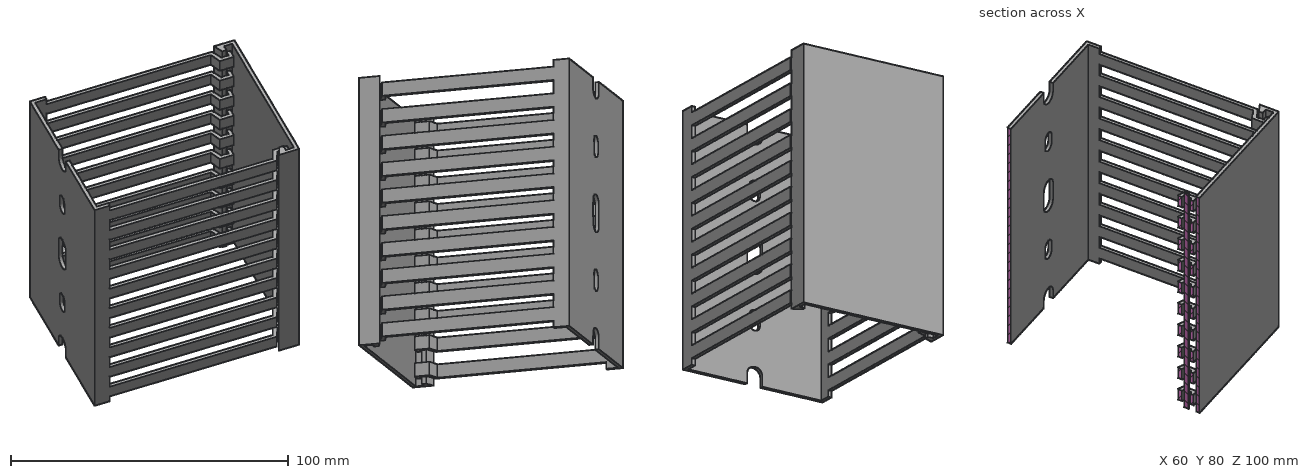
import cadquery as cq

WIDTH = 60.0
DEPTH = 80.0
LENGTH = 100.0
HALF_WIDTH = WIDTH / 2
BACK = DEPTH / 2
FRONT = -DEPTH / 2

BASE_THICKNESS = 1.5
SIDE_THICKNESS = 1.4

FINGER_PITCH = 10.0
FINGER_WIDTH = 5.0
FINGER_COUNT = 10
ROOT_HEIGHT = 6.0

HOOK_REACH = 5.5
HOOK_LIP_REACH = 2.1
HOOK_THICKNESS = 1.5
HOOK_TOP_DROP = 2.5
HOOK_LIP_THICKNESS = 1.5
HOOK_INNER_SHOULDER_DROP = 8.1
HOOK_OUTER_SHOULDER_DROP = 6.9
FINGER_INNER_BEND_DROP = 9.8
FINGER_OUTER_BEND_DROP = 8.8

LID_THICKNESS = 1.5
LID_SIDE_THICKNESS = 1.4
LID_SKIRT = 8.0
CATCH_REACH = 3.6
CATCH_TOP_DROP = 4.6
CATCH_TIP_DROP = 6.3

LARGE_SLOT_LENGTH = 14.0
LARGE_SLOT_WIDTH = 6.5
SMALL_SLOT_LENGTH = 8.0
SMALL_SLOT_WIDTH = 4.5
SLOT_PITCH = LENGTH / 2


def extrude_mirrored(half_outline):
    """Close a left-half outline by mirroring it across X = 0, and extrude it over the length."""
    right_half = [(-x, y) for x, y in reversed(half_outline)]
    return cq.Workplane("XY").polyline(half_outline + right_half).close().extrude(LENGTH)


def left_point(inset, drop):
    """Point given by its distance in from the left face and down from the back face."""
    return (inset - HALF_WIDTH, BACK - drop)


def duct_profile():
    hook_inside = HOOK_REACH - HOOK_THICKNESS
    lip_bottom_drop = HOOK_TOP_DROP + HOOK_LIP_THICKNESS
    return extrude_mirrored([
        left_point(0, DEPTH),
        left_point(0, FINGER_OUTER_BEND_DROP),
        left_point(hook_inside, HOOK_OUTER_SHOULDER_DROP),
        left_point(hook_inside, lip_bottom_drop),
        left_point(HOOK_LIP_REACH, lip_bottom_drop),
        left_point(HOOK_LIP_REACH, HOOK_TOP_DROP),
        left_point(HOOK_REACH, HOOK_TOP_DROP),
        left_point(HOOK_REACH, HOOK_INNER_SHOULDER_DROP),
        left_point(SIDE_THICKNESS, FINGER_INNER_BEND_DROP),
        left_point(SIDE_THICKNESS, DEPTH - BASE_THICKNESS),
    ])


def finger_gaps():
    """Full-width cutters for the gaps between fingers, and the half gaps at both ends."""
    gap = FINGER_PITCH - FINGER_WIDTH
    gap_depth = DEPTH - ROOT_HEIGHT
    centres = [(0, i * FINGER_PITCH) for i in range(FINGER_COUNT + 1)]
    return (
        cq.Workplane("XZ", origin=(0, FRONT + ROOT_HEIGHT, 0))
        .pushPoints(centres)
        .rect(WIDTH, gap)
        .extrude(-gap_depth)
    )


def base_slots(heights, slot_length, slot_width):
    """Round-ended cutters through the base, one at each height."""
    return (
        cq.Workplane("XZ", origin=(0, FRONT, 0))
        .pushPoints([(0, z) for z in heights])
        .slot2D(slot_length, slot_width, 90)
        .extrude(-BASE_THICKNESS)
    )


def make_duct():
    middle = LENGTH / 2
    large_heights = [middle + i * SLOT_PITCH for i in (-1, 0, 1)]
    small_heights = [middle + i * SLOT_PITCH / 2 for i in (-1, 1)]
    return (
        duct_profile()
        .cut(finger_gaps())
        .cut(base_slots(large_heights, LARGE_SLOT_LENGTH, LARGE_SLOT_WIDTH))
        .cut(base_slots(small_heights, SMALL_SLOT_LENGTH, SMALL_SLOT_WIDTH))
    )


def make_lid():
    return extrude_mirrored([
        left_point(0, 0),
        left_point(0, LID_SKIRT),
        left_point(CATCH_REACH, CATCH_TIP_DROP),
        left_point(CATCH_REACH, CATCH_TOP_DROP),
        left_point(LID_SIDE_THICKNESS, CATCH_TOP_DROP),
        left_point(LID_SIDE_THICKNESS, LID_THICKNESS),
    ])


duct = make_duct()
lid = make_lid()

result = cq.Compound.makeCompound([duct.solids().val(), lid.solids().val()])